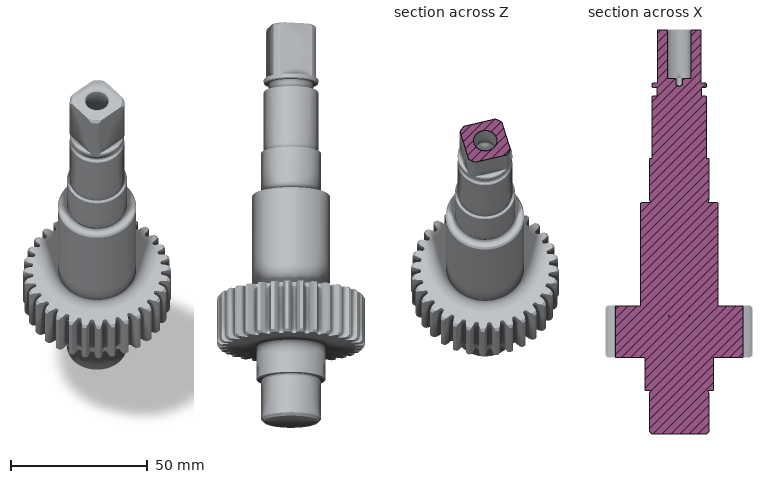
import cadquery as cq
import math

TOTAL_LENGTH = 148.0
COLLAR_BOTTOM = 15.8
GEAR_BOTTOM = 28.0
GEAR_TOP = 47.0
HUB_TOP = 85.0
BEARING_SEAT_TOP = 101.0
SPINDLE_TOP = 123.9
RING_BOTTOM = 126.8
RING_TOP = 128.6

JOURNAL_DIAMETER = 22.0
COLLAR_DIAMETER = 25.3
HUB_DIAMETER = 28.7
SPINDLE_DIAMETER = 20.0
NECK_DIAMETER = 16.5

SMALL_CHAMFER = 0.3
HUB_CHAMFER = 0.6
END_CHAMFER = 1.0
RELIEF_LENGTH = 1.0
RELIEF_DEPTH = 0.5

SQUARE_WIDTH = 16.0
SQUARE_CHAMFER = 0.9

TEETH = 32
OUTER_DIAMETER = 54.0
MODULE = OUTER_DIAMETER / (TEETH + 2)
PRESSURE_ANGLE = math.radians(20)
DEDENDUM_FACTOR = 1.25
FLANK_POINTS = 5
GEAR_CHAMFER = 0.9

BORE_DIAMETER = 8.5
BORE_MOUTH_DIAMETER = 9.3
BORE_CHAMFER_DEPTH = 0.3
BORE_DEPTH = 17.8
PILOT_DIAMETER = 2.2
PILOT_DEPTH = 3.0
PILOT_TIP_LENGTH = 0.7


def turned(profile):
    """Revolve a closed (radius, height) profile about the shaft axis."""
    return cq.Workplane("XZ").polyline(profile).close().revolve(360, (0, 0), (0, 1))


def cylinder(diameter, bottom, top, bottom_chamfer=0.0, top_chamfer=0.0):
    radius = diameter / 2
    profile = [(0, bottom), (radius - bottom_chamfer, bottom)]
    if bottom_chamfer:
        profile.append((radius, bottom + bottom_chamfer))
    if top_chamfer:
        profile.append((radius, top - top_chamfer))
    profile += [(radius - top_chamfer, top), (0, top)]
    return turned(profile)


def stepped_shaft():
    journal = JOURNAL_DIAMETER / 2
    collar = COLLAR_DIAMETER / 2
    hub = HUB_DIAMETER / 2
    spindle = SPINDLE_DIAMETER / 2
    neck = NECK_DIAMETER / 2
    return turned([
        (0, 0),
        (journal - END_CHAMFER, 0),
        (journal, END_CHAMFER),
        (journal, COLLAR_BOTTOM - RELIEF_LENGTH),
        (journal - RELIEF_DEPTH, COLLAR_BOTTOM),
        (collar, COLLAR_BOTTOM),
        (collar, GEAR_BOTTOM),
        (hub, GEAR_BOTTOM),
        (hub, HUB_TOP - HUB_CHAMFER),
        (hub - HUB_CHAMFER, HUB_TOP),
        (journal - RELIEF_DEPTH, HUB_TOP),
        (journal, HUB_TOP + RELIEF_LENGTH),
        (journal, BEARING_SEAT_TOP - SMALL_CHAMFER),
        (journal - SMALL_CHAMFER, BEARING_SEAT_TOP),
        (spindle, BEARING_SEAT_TOP),
        (spindle, SPINDLE_TOP - SMALL_CHAMFER),
        (spindle - SMALL_CHAMFER, SPINDLE_TOP),
        (neck, SPINDLE_TOP),
        (neck, RING_BOTTOM),
        (spindle - SMALL_CHAMFER, RING_BOTTOM),
        (spindle, RING_BOTTOM + SMALL_CHAMFER),
        (spindle, RING_TOP - SMALL_CHAMFER),
        (spindle - SMALL_CHAMFER, RING_TOP),
        (0, RING_TOP),
    ])


def square_drive():
    """Four flats on the spindle diameter, leaving its round surface at the corners."""
    bottom = RING_TOP - SMALL_CHAMFER
    flats = (
        cq.Workplane("XY", origin=(0, 0, bottom))
        .rect(SQUARE_WIDTH, SQUARE_WIDTH)
        .extrude(TOTAL_LENGTH - bottom)
    )
    return flats.intersect(cylinder(SPINDLE_DIAMETER, bottom, TOTAL_LENGTH, top_chamfer=SQUARE_CHAMFER))


def polar(radius, angle):
    return (radius * math.cos(angle), radius * math.sin(angle))


def involute_angle(radius, base_radius):
    """Polar angle of an involute where it reaches the given radius."""
    pressure = math.acos(base_radius / radius)
    return math.tan(pressure) - pressure


def gear():
    pitch_radius = MODULE * TEETH / 2
    base_radius = pitch_radius * math.cos(PRESSURE_ANGLE)
    root_radius = pitch_radius - DEDENDUM_FACTOR * MODULE
    tip_radius = OUTER_DIAMETER / 2
    tooth_pitch = 2 * math.pi / TEETH
    half_base_angle = tooth_pitch / 4 + involute_angle(pitch_radius, base_radius)

    flank = []
    for step in range(FLANK_POINTS):
        radius = base_radius + (tip_radius - base_radius) * step / (FLANK_POINTS - 1)
        flank.append((radius, half_base_angle - involute_angle(radius, base_radius)))

    first_centre = tooth_pitch / 2
    outline = cq.Workplane("XY", origin=(0, 0, GEAR_BOTTOM))
    outline = outline.moveTo(*polar(base_radius, first_centre - half_base_angle))
    for tooth in range(TEETH):
        centre = first_centre + tooth * tooth_pitch
        rising = [polar(radius, centre - angle) for radius, angle in flank]
        falling = [polar(radius, centre + angle) for radius, angle in reversed(flank)]
        space_middle = centre + tooth_pitch / 2
        next_tooth_start = centre + tooth_pitch - half_base_angle
        outline = (
            outline.spline(rising[1:], includeCurrent=True)
            .threePointArc(polar(tip_radius, centre), falling[0])
            .spline(falling[1:], includeCurrent=True)
            .threePointArc(polar(root_radius, space_middle), polar(base_radius, next_tooth_start))
        )
    teeth = outline.close().extrude(GEAR_TOP - GEAR_BOTTOM)
    blank = cylinder(OUTER_DIAMETER, GEAR_BOTTOM, GEAR_TOP, GEAR_CHAMFER, GEAR_CHAMFER)
    return teeth.intersect(blank)


def centre_bore():
    """Bore with a chamfered mouth and a small pointed pilot hole in its floor."""
    floor = TOTAL_LENGTH - BORE_DEPTH
    return turned([
        (0, floor - PILOT_DEPTH),
        (PILOT_DIAMETER / 2, floor - PILOT_DEPTH + PILOT_TIP_LENGTH),
        (PILOT_DIAMETER / 2, floor),
        (BORE_DIAMETER / 2, floor),
        (BORE_DIAMETER / 2, TOTAL_LENGTH - BORE_CHAMFER_DEPTH),
        (BORE_MOUTH_DIAMETER / 2, TOTAL_LENGTH),
        (0, TOTAL_LENGTH),
    ])


result = stepped_shaft().union(gear()).union(square_drive()).cut(centre_bore())